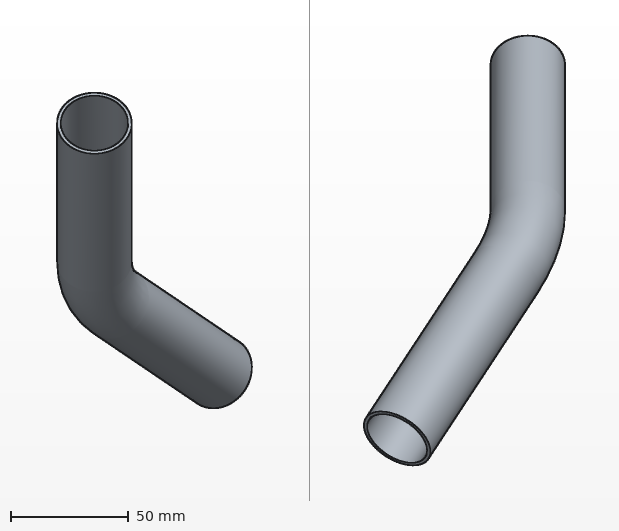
import cadquery as cq
import math

OUTER_DIAMETER = 31.75
INNER_DIAMETER = 28.55
LEG_LENGTH = 101.6
BEND_RADIUS = 76.2
BEND_ANGLE = 30.0


def arc_point(angle_deg):
    """Centreline point (y, z) on the bend, measured from the foot of the upper leg."""
    angle = math.radians(angle_deg)
    return (BEND_RADIUS * (1 - math.cos(angle)), -BEND_RADIUS * math.sin(angle))


def centreline():
    """Vertical upper leg, circular bend, then the slanted lower leg, in the YZ plane."""
    bend_end_y, bend_end_z = arc_point(BEND_ANGLE)
    tilt = math.radians(BEND_ANGLE)
    lower_end = (
        bend_end_y + LEG_LENGTH * math.sin(tilt),
        bend_end_z - LEG_LENGTH * math.cos(tilt),
    )
    return (
        cq.Workplane("YZ")
        .moveTo(0, LEG_LENGTH)
        .lineTo(0, 0)
        .threePointArc(arc_point(BEND_ANGLE / 2), (bend_end_y, bend_end_z))
        .lineTo(*lower_end)
    )


def bent_tube():
    """Ring section at the top of the upper leg, swept along the centreline."""
    section = (
        cq.Workplane("XY", origin=(0, 0, LEG_LENGTH))
        .circle(OUTER_DIAMETER / 2)
        .circle(INNER_DIAMETER / 2)
    )
    return section.sweep(centreline())


result = bent_tube()